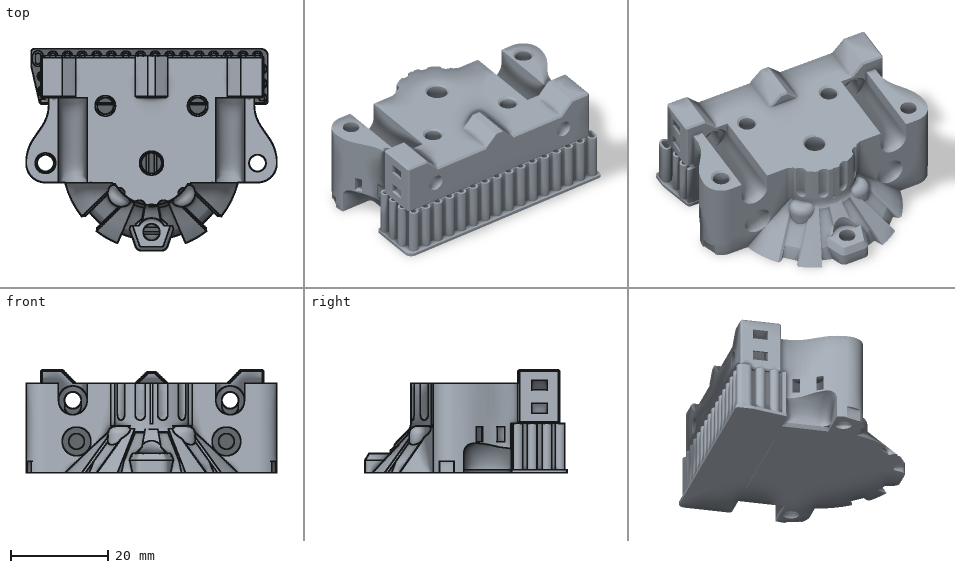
import cadquery as cq
import math

DECK_Z = 18.4
FRONT_Y = -4.0
REAR_Y = 12.0
NECK_X = 21.1
EAR_TIP_X = 25.75
EAR_R = 4.0
EAR_X = EAR_TIP_X - EAR_R
WAIST_END_Y = 7.5
FLANK_END_Y = 5.08
FLANK_ANGLE = math.radians(34.6)

HOUSING_LEFT_X = -22.75
HOUSING_RIGHT_X = 23.05
HOUSING_FRONT_Y = 13.37
HOUSING_BACK_Y = 22.0
HOUSING_Z = 10.15
BLOCK_TOP_Z = 21.18
HOUSING_EDGE = 0.35

BANK_FRONT_Y = 12.43
BRIDGE_TOP_Z = 4.8
PLATE_Z = 0.65
PLATE_BACK_Y = 23.48
PLATE_FRONT_Y = 12.08
TUBE_R = 1.0
TUBE_BORE_R = 0.6
TUBE_PITCH = 3.0
BACK_TUBE_COUNT = 15
LEFT_TUBE_COUNT = 2
RIGHT_TUBE_COUNT = 3
BACK_TUBE_X = -20.25
LEFT_TUBE_X = -22.4
RIGHT_TUBE_X = 22.65
BANK_INSET = 0.5

ROD_X = 16.14
ROD_Z = 14.9
ROD_R = 2.95
ROD_HOLE_D = 3.4
ROD_DROP = 1.3
ROD_SEAT_DEPTH = 1.0
LOWER_ROD_X = 15.37
LOWER_ROD_Z = 6.46

NOSE_R = 8.6
SKIRT_R = 18.3
SKIRT_Y = 0.45
CHANNEL_R = 17.3
CHANNEL_FOOT_R = 16.2
CHANNEL_FOOT_Z = 2.4
LUMP_OFFSET = 6.2
LUMP_R = 2.75
LUMP_TOP_Z = 9.6
CHANNEL_ANGLE = 45.7

BOSS_Y = -14.15
BOSS_FRONT_Y = -18.0
BOSS_BACK_Y = -12.85
BOSS_TOP_Z = 4.0
HEAD_D = 5.8

OVERLAP = 1.0

SCREW_D = 3.4
SCREW_LEAD_D = 4.2


def cylinder(diameter, x, y, z_low, z_high):
    return cq.Workplane("XY", origin=(x, y, z_low)).circle(diameter / 2).extrude(z_high - z_low)


def cylinder_along_y(diameter, x, z, y_low, y_high):
    plane = cq.Workplane("XZ", origin=(x, y_low, z))
    return plane.circle(diameter / 2).extrude(y_low - y_high)


def box(x_low, x_high, y_low, y_high, z_low, z_high):
    plane = cq.Workplane("XY", origin=(x_low, y_low, z_low))
    return plane.box(x_high - x_low, y_high - y_low, z_high - z_low, centered=False)


def both_sides(shape):
    return shape.union(shape.mirror("YZ"))


def body():
    """Block with one screw ear on each side, joined to the neck by S-curves."""
    neck_run = (REAR_Y - WAIST_END_Y) * math.tan(FLANK_ANGLE / 2)
    waist_x = NECK_X + neck_run
    flank_x = waist_x + (WAIST_END_Y - FLANK_END_Y) * math.tan(FLANK_ANGLE)
    diagonal = EAR_R * math.sqrt(0.5)
    waist_r = (REAR_Y - WAIST_END_Y) / math.sin(FLANK_ANGLE)
    half_turn = FLANK_ANGLE / 2
    waist_mid = (NECK_X + waist_r * (1 - math.cos(half_turn)), REAR_Y - waist_r * math.sin(half_turn))
    shoulder_r = FLANK_END_Y / math.sin(FLANK_ANGLE)
    shoulder_mid = (EAR_TIP_X - shoulder_r * (1 - math.cos(half_turn)), shoulder_r * math.sin(half_turn))
    half = (
        cq.Workplane("XY")
        .moveTo(0, FRONT_Y)
        .lineTo(EAR_X, FRONT_Y)
        .threePointArc((EAR_X + diagonal, -diagonal), (EAR_TIP_X, 0))
        .threePointArc(shoulder_mid, (flank_x, FLANK_END_Y))
        .lineTo(waist_x, WAIST_END_Y)
        .threePointArc(waist_mid, (NECK_X, REAR_Y))
        .lineTo(0, REAR_Y)
        .close()
        .extrude(DECK_Z)
    )
    collar = box(-NECK_X, NECK_X, REAR_Y - OVERLAP, HOUSING_FRONT_Y + OVERLAP, HOUSING_Z, DECK_Z)
    return both_sides(half).union(collar)


def chamfered_ridge(points):
    plane = cq.Workplane("XZ", origin=(0, HOUSING_FRONT_Y, 0))
    bump = plane.polyline(points).close().extrude(HOUSING_FRONT_Y - HOUSING_BACK_Y)
    return bump.faces("<Y").chamfer(HOUSING_EDGE)


def housing():
    """Rear bar with two raised end blocks and a raised ridge in the middle."""
    block_foot_x = 15.55
    block_top_x = 18.28
    ridge_foot_x = 3.32
    ridge_top_x = 0.82
    ridge_top_z = 20.8
    ridge_base_z = DECK_Z - OVERLAP
    outline = [
        (HOUSING_LEFT_X, HOUSING_Z),
        (HOUSING_RIGHT_X, HOUSING_Z),
        (HOUSING_RIGHT_X, BLOCK_TOP_Z),
        (block_top_x, BLOCK_TOP_Z),
        (block_foot_x, DECK_Z),
        (-block_foot_x, DECK_Z),
        (-block_top_x, BLOCK_TOP_Z),
        (HOUSING_LEFT_X, BLOCK_TOP_Z),
    ]
    plane = cq.Workplane("XZ", origin=(0, HOUSING_FRONT_Y, 0))
    bar = plane.polyline(outline).close().extrude(HOUSING_FRONT_Y - HOUSING_BACK_Y)
    bar = bar.faces("<X or >X or <Y or >Y").edges().chamfer(HOUSING_EDGE)
    ridge = chamfered_ridge([
        (-ridge_foot_x, ridge_base_z),
        (ridge_foot_x, ridge_base_z),
        (ridge_foot_x, DECK_Z),
        (ridge_top_x, ridge_top_z),
        (-ridge_top_x, ridge_top_z),
        (-ridge_foot_x, DECK_Z),
    ])
    return bar.union(ridge)


def base_plate():
    left_x = -24.7
    left_foot_x = -22.9
    right_x = 23.88
    taper_y = 19.9
    plate = (
        cq.Workplane("XY")
        .polyline([
            (left_foot_x, PLATE_FRONT_Y),
            (right_x, PLATE_FRONT_Y),
            (right_x, PLATE_BACK_Y),
            (left_x, PLATE_BACK_Y),
            (left_x, taper_y),
        ])
        .close()
        .extrude(PLATE_Z)
    )
    corner_r = 0.7
    big_corner_r = 1.5
    plate = plate.edges("|Z and >X and >Y").fillet(big_corner_r)
    return plate.edges("|Z and (<Y or (<X and >Y))").fillet(corner_r)


def tube_centres():
    left_first_y = 14.8
    right_first_y = 13.35
    back = [(BACK_TUBE_X + i * TUBE_PITCH, HOUSING_BACK_Y) for i in range(BACK_TUBE_COUNT)]
    left = [(LEFT_TUBE_X, left_first_y + i * TUBE_PITCH) for i in range(LEFT_TUBE_COUNT)]
    right = [(RIGHT_TUBE_X, right_first_y + i * TUBE_PITCH) for i in range(RIGHT_TUBE_COUNT)]
    return back + left + right


def tube_bank():
    """Block under the housing, ringed on three sides by open tubes on a base plate."""
    block_left_x = LEFT_TUBE_X + BANK_INSET
    block_right_x = RIGHT_TUBE_X - BANK_INSET
    bank = box(block_left_x, block_right_x, BANK_FRONT_Y, HOUSING_BACK_Y, 0, HOUSING_Z)
    bank = bank.union(base_plate())
    front_wall_left_x = -22.75
    front_wall_depth = 0.7
    wall_y = BANK_FRONT_Y + front_wall_depth
    bank = bank.union(box(front_wall_left_x, RIGHT_TUBE_X, BANK_FRONT_Y, wall_y, 0, HOUSING_Z))

    corner_x = -23.3
    corner_y = 21.45
    corner_straight = 1.1
    corner_r = 1.05
    corner_plane = cq.Workplane("XY", origin=(corner_x, corner_y, 0))
    corner_tube = corner_plane.slot2D(corner_straight + 2 * corner_r, 2 * corner_r, 90).extrude(HOUSING_Z)
    tubes = cq.Workplane("XY").pushPoints(tube_centres()).circle(TUBE_R).extrude(HOUSING_Z)
    bank = bank.union(tubes).union(corner_tube)

    bore_plane = cq.Workplane("XY", origin=(0, 0, PLATE_Z))
    bores = bore_plane.pushPoints(tube_centres()).circle(TUBE_BORE_R).extrude(HOUSING_Z - PLATE_Z)
    corner_bore = corner_plane.workplane(offset=PLATE_Z).slot2D(
        corner_straight + 2 * TUBE_BORE_R, 2 * TUBE_BORE_R, 90
    ).extrude(HOUSING_Z - PLATE_Z)
    bank = bank.cut(bores).cut(corner_bore)
    bridge_inner_x = 12.0
    bridge_outer_x = 18.0
    bridge = box(bridge_inner_x, bridge_outer_x, REAR_Y - OVERLAP, BANK_FRONT_Y + OVERLAP, 0, BRIDGE_TOP_Z)
    return bank.union(both_sides(bridge))


def skirt_channel():
    """Straight sloped channel with flared walls, running out along +X."""
    floor_half = 1.7
    flare = 0.6
    profile = [
        (CHANNEL_FOOT_R, 0),
        (CHANNEL_R - CHANNEL_FOOT_Z, CHANNEL_FOOT_Z),
        (NOSE_R - OVERLAP, CHANNEL_R - NOSE_R + OVERLAP),
        (SKIRT_R + OVERLAP, CHANNEL_R - NOSE_R + OVERLAP),
        (SKIRT_R + OVERLAP, 0),
    ]
    side_plane = cq.Workplane("XZ", origin=(0, floor_half + flare, 0))
    channel = side_plane.polyline(profile).close().extrude(2 * (floor_half + flare))
    slope_plane = cq.Plane(origin=(CHANNEL_R, 0, 0), xDir=(0, 1, 0), normal=(-1, 0, 1))
    wall_depth = 0.55
    reach = SKIRT_R
    walls = (
        cq.Workplane(slope_plane)
        .polyline([
            (-floor_half, reach),
            (floor_half, reach),
            (floor_half, 0),
            (floor_half + flare, -wall_depth),
            (floor_half + flare, -reach),
            (-floor_half - flare, -reach),
            (-floor_half - flare, -wall_depth),
            (-floor_half, 0),
        ])
        .close()
        .extrude(reach, both=True)
    )
    return channel.intersect(walls)


def wedge(half_angle, height):
    """Wedge opening toward -Y from the nose axis."""
    reach = 2 * SKIRT_R
    half_x = reach * math.tan(math.radians(half_angle))
    return cq.Workplane("XY").polyline([(0, 0), (half_x, -reach), (-half_x, -reach)]).close().extrude(height)


def cone(foot_points):
    """Revolved skirt from the given foot points up a 45 degree slope to its apex."""
    apex_z = foot_points[-1][0] + foot_points[-1][1]
    points = [(0, 0)] + foot_points + [(0, apex_z)]
    profile = cq.Workplane("XZ", origin=(0, SKIRT_Y, 0)).polyline(points).close()
    return profile.revolve(360, (0, 0), (0, 1))


def nose_blend():
    """Concave ring that eases the recessed slope into the nose column."""
    tangent_length = 0.95
    corner_z = CHANNEL_R + SKIRT_Y - NOSE_R
    slope_step = tangent_length * math.sqrt(0.5)
    mid_angle = math.radians(45 / 2)
    blend_r = tangent_length / math.tan(mid_angle)
    centre_r = NOSE_R + blend_r
    top_z = corner_z + tangent_length
    mid = (centre_r - blend_r * math.cos(mid_angle), top_z - blend_r * math.sin(mid_angle))
    inner_r = NOSE_R - OVERLAP
    profile = (
        cq.Workplane("XZ")
        .moveTo(inner_r, top_z)
        .lineTo(NOSE_R, top_z)
        .threePointArc(mid, (NOSE_R + slope_step, corner_z - slope_step))
        .lineTo(inner_r, corner_z - slope_step)
        .close()
    )
    return profile.revolve(360, (0, 0), (0, 1))


def skirt():
    middle_half_angle = 23.0
    fins = cone([(SKIRT_R, 0)])
    recessed = cone([(CHANNEL_FOOT_R, 0), (CHANNEL_R - CHANNEL_FOOT_Z, CHANNEL_FOOT_Z)])
    rib_foot_half = 3.2
    rib_waist_z = 5.3
    rib_half_low = 1.95
    rib_half_high = 1.1
    rib_plane = cq.Workplane("XZ")
    rib_top_z = SKIRT_R - NOSE_R + SKIRT_Y
    rib = rib_plane.polyline([
        (-rib_foot_half, 0),
        (rib_foot_half, 0),
        (rib_foot_half, BOSS_TOP_Z),
        (rib_half_low, rib_waist_z),
        (rib_half_high, rib_top_z),
        (-rib_half_high, rib_top_z),
        (-rib_half_low, rib_waist_z),
        (-rib_foot_half, BOSS_TOP_Z),
    ]).close().extrude(-BOSS_BACK_Y)
    rib = rib.intersect(fins)
    middle = wedge(middle_half_angle, SKIRT_R)
    shape = fins.cut(middle).union(recessed.intersect(middle))
    shape = shape.union(rib).union(nose_blend())
    shape = shape.cut(both_sides(skirt_channel().rotate((0, 0, 0), (0, 0, 1), CHANNEL_ANGLE - 90)))
    front_half = box(-SKIRT_R, SKIRT_R, -SKIRT_R, FRONT_Y + OVERLAP, 0, SKIRT_R - NOSE_R + OVERLAP)
    return shape.intersect(front_half)


def lumps():
    """Rounded posts rising out of the skirt beside the nose."""
    crown_r = 1.6
    post = cylinder(2 * LUMP_R, LUMP_OFFSET, -LUMP_OFFSET, 0, LUMP_TOP_Z).faces(">Z").edges().fillet(crown_r)
    return both_sides(post)


def nose():
    """Fluted half-round column at the front of the body."""
    flute_r = 1.3
    flute_axis_r = 9.25
    flute_foot_z = 11.95
    flute_angles = (15.7, 47.0)
    column = cylinder(2 * NOSE_R, 0, 0, 0, DECK_Z)
    for angle in flute_angles:
        x = flute_axis_r * math.sin(math.radians(angle))
        y = -flute_axis_r * math.cos(math.radians(angle))
        foot = cq.Workplane("XY", origin=(x, y, flute_foot_z)).sphere(flute_r)
        flute = cylinder(2 * flute_r, x, y, flute_foot_z, DECK_Z).union(foot)
        column = column.cut(both_sides(flute))
    seam_half = 0.28
    seam_depth = 0.15
    seam_foot_z = 9.7
    seam = box(-seam_half, seam_half, -NOSE_R - OVERLAP, seam_depth - NOSE_R, seam_foot_z, DECK_Z)
    bevel_outer_x = 8.4
    bevel_inner_x = 7.5
    bevel_y = FRONT_Y - 0.4
    bevel = cq.Workplane("XY", origin=(0, 0, seam_foot_z)).polyline([
        (bevel_inner_x, FRONT_Y + OVERLAP),
        (bevel_outer_x, FRONT_Y + OVERLAP),
        (bevel_outer_x, FRONT_Y),
        (bevel_inner_x, bevel_y),
    ]).close().extrude(DECK_Z - seam_foot_z)
    return column.cut(seam).union(both_sides(bevel)).intersect(
        box(-SKIRT_R, SKIRT_R, -SKIRT_R, REAR_Y, 0, DECK_Z)
    )


def boss():
    """Tapered screw boss at the foot of the skirt."""
    back_half_x = 4.75
    front_half_x = 3.0
    corner_r = 1.4
    edge_drop = 1.4
    edge_inset = 0.85
    extra_back = 1.0
    side_slope = (back_half_x - front_half_x) / (BOSS_BACK_Y - BOSS_FRONT_Y)
    far_half_x = back_half_x + extra_back * side_slope
    outline = cq.Sketch().polygon([
        (-far_half_x, BOSS_BACK_Y + extra_back),
        (-front_half_x, BOSS_FRONT_Y),
        (front_half_x, BOSS_FRONT_Y),
        (far_half_x, BOSS_BACK_Y + extra_back),
        (-far_half_x, BOSS_BACK_Y + extra_back),
    ]).vertices("<Y").fillet(corner_r)
    shoulder_z = BOSS_TOP_Z - edge_drop
    plate = cq.Workplane("XY").placeSketch(outline).extrude(shoulder_z)
    taper = math.degrees(math.atan(edge_inset / edge_drop))
    crown = cq.Workplane("XY", origin=(0, 0, shoulder_z)).placeSketch(outline).extrude(edge_drop, taper=taper)
    plate = plate.union(crown)
    plate = plate.intersect(box(-SKIRT_R, SKIRT_R, BOSS_FRONT_Y, BOSS_BACK_Y, 0, BOSS_TOP_Z))
    return plate.union(cylinder(HEAD_D, 0, BOSS_Y, 0, BOSS_TOP_Z))


def boss_cuts():
    """Screw-head clearance above the boss and its blind grooved hole."""
    hole_floor_z = 1.0
    groove_back_y = -13.15
    groove_front_ys = (-14.6, -14.1)
    groove_step = 0.4
    cuts = cylinder(HEAD_D, 0, BOSS_Y, BOSS_TOP_Z, LUMP_TOP_Z)
    cuts = cuts.union(cylinder(SCREW_D, 0, BOSS_Y, hole_floor_z, BOSS_TOP_Z))
    for level, groove_front_y in enumerate(groove_front_ys, start=1):
        low_z = hole_floor_z - level * groove_step
        strip = box(-SCREW_D, SCREW_D, groove_front_y, groove_back_y, low_z, hole_floor_z)
        cuts = cuts.union(strip.intersect(cylinder(SCREW_D, 0, BOSS_Y, low_z, hole_floor_z)))
    return cuts


def lead_in_hole(diameter, lead_diameter, x, y, floor_z):
    """Hole down from the deck with a conical lead-in at its mouth."""
    lead = (lead_diameter - diameter) / 2
    hole = cylinder(diameter, x, y, floor_z, DECK_Z)
    mouth = cq.Workplane("XY", origin=(x, y, DECK_Z)).circle(lead_diameter / 2).extrude(-lead, taper=45)
    return hole.union(mouth)


def deck_holes():
    rear_hole_x = 9.48
    rear_hole_y = 11.75
    rear_floor_z = 3.0
    centre_d = 4.2
    centre_lead_d = 4.9
    centre_floor_z = 3.0
    groove_half_widths = (1.1, 0.55)
    groove_step = 0.5
    holes = lead_in_hole(centre_d, centre_lead_d, 0, 0, centre_floor_z)
    for level, half in enumerate(groove_half_widths, start=1):
        low_z = centre_floor_z - level * groove_step
        strip = box(-half, half, -centre_d, centre_d, low_z, centre_floor_z)
        holes = holes.union(strip.intersect(cylinder(centre_d, 0, 0, low_z, centre_floor_z)))
    for side in (-1, 1):
        x = side * rear_hole_x
        holes = holes.union(lead_in_hole(SCREW_D, SCREW_LEAD_D, x, rear_hole_y, rear_floor_z))
    holes = holes.union(lead_in_hole(SCREW_D, SCREW_LEAD_D, -EAR_X, 0, 0))
    return holes.union(cylinder(SCREW_D, EAR_X, 0, 0, DECK_Z))


def ear_notch():
    """Shallow flat-backed notch at the foot of the ear, facing outward from its screw hole."""
    half_width = 1.6
    roof_z = 2.4
    angle = -19.6
    face_distance = 3.4
    notch = box(face_distance, EAR_R + OVERLAP, -half_width, half_width, 0, roof_z)
    return notch.rotate((0, 0, 0), (0, 0, 1), angle).translate((EAR_X, 0, 0))


def rod_cuts():
    """Open rod channel, its seat and hole through the housing, and the stepped bore below."""
    channel_top_z = DECK_Z + ROD_R
    cuts = cylinder_along_y(2 * ROD_R, ROD_X, ROD_Z, FRONT_Y, HOUSING_FRONT_Y + ROD_SEAT_DEPTH)
    cuts = cuts.union(box(ROD_X - ROD_R, ROD_X + ROD_R, FRONT_Y, HOUSING_FRONT_Y, ROD_Z, channel_top_z))
    cuts = cuts.union(cylinder_along_y(ROD_HOLE_D, ROD_X, ROD_Z, FRONT_Y, HOUSING_BACK_Y))
    slot_end_y = (HOUSING_FRONT_Y + HOUSING_BACK_Y) / 2
    low_z = ROD_Z - ROD_DROP
    cuts = cuts.union(cylinder_along_y(ROD_HOLE_D, ROD_X, low_z, HOUSING_FRONT_Y, slot_end_y))
    hole_r = ROD_HOLE_D / 2
    cuts = cuts.union(box(ROD_X - hole_r, ROD_X + hole_r, HOUSING_FRONT_Y, slot_end_y, low_z, ROD_Z))
    lower_pilot_d = 3.2
    lower_bore_end_y = 8.0
    cuts = cuts.union(cylinder_along_y(2 * ROD_R, LOWER_ROD_X, LOWER_ROD_Z, FRONT_Y, lower_bore_end_y))
    return cuts.union(cylinder_along_y(lower_pilot_d, LOWER_ROD_X, LOWER_ROD_Z, FRONT_Y, REAR_Y))


def ring(outer_r, inner_r, width):
    return cq.Workplane("XY").circle(outer_r).circle(inner_r).extrude(width / 2, both=True)


def strap_loops():
    """Curved strap passages that enter and leave through the sides."""
    housing_loop = ring(outer_r=3.4, inner_r=1.4, width=3.15).rotate((0, 0, 0), (1, 0, 0), 90)
    loop_y = 17.8
    loop_z = 15.65
    left = housing_loop.translate((HOUSING_LEFT_X, loop_y, loop_z))
    right = housing_loop.translate((HOUSING_RIGHT_X, loop_y, loop_z))
    waist_loop_centre = (22.6, 7.7, 7.95)
    waist_loop = both_sides(ring(outer_r=3.3, inner_r=1.75, width=3.1).translate(waist_loop_centre))
    return left.union(right).union(waist_loop)


def waist_scoop():
    """Rounded hollow in the lower side of the waist, flared at the bottom edge."""
    inner_x = 18.8
    front_y = 2.3
    roof_z = 6.05
    roof_r = roof_z - PLATE_Z
    end_r = 2.0
    foot_flare = PLATE_Z
    scoop = box(inner_x, EAR_TIP_X + OVERLAP, front_y, REAR_Y + OVERLAP, 0, roof_z)
    scoop = scoop.edges("|Y and <X and >Z").fillet(roof_r)
    scoop = scoop.edges("|X and <Y and >Z").fillet(end_r)
    flare = cq.Workplane("XZ", origin=(0, front_y, 0)).polyline([
        (inner_x - foot_flare, 0),
        (inner_x, foot_flare),
        (EAR_TIP_X, foot_flare),
        (EAR_TIP_X, 0),
    ]).close().extrude(front_y - REAR_Y)
    return scoop.union(flare)


result = body().union(nose()).union(skirt()).union(lumps()).union(boss())
result = result.cut(both_sides(waist_scoop())).cut(both_sides(ear_notch()))
result = result.union(housing()).union(tube_bank())
result = result.cut(both_sides(rod_cuts())).cut(strap_loops())
result = result.cut(deck_holes()).cut(boss_cuts())